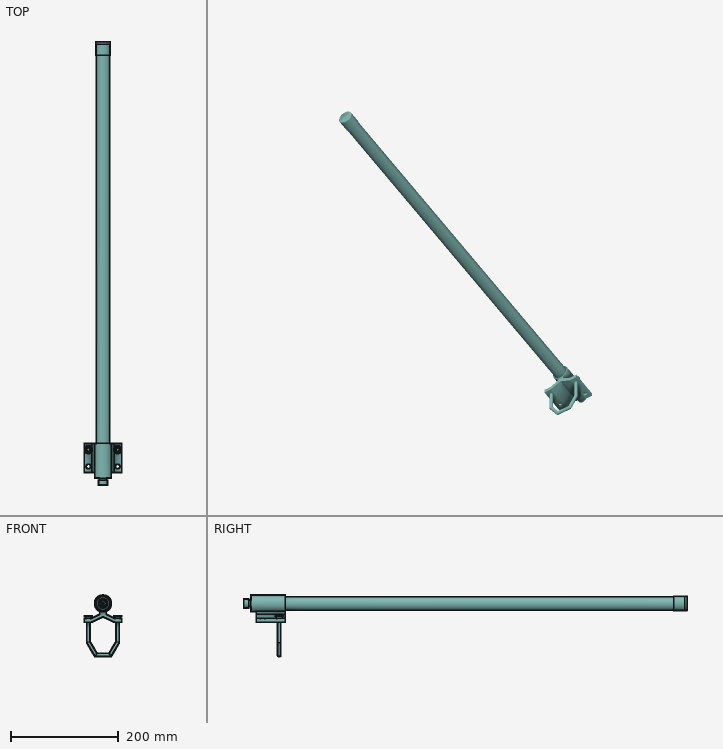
import cadquery as cq
import math

OVERALL_LENGTH = 822.0
OVERALL_HEIGHT = 114.0

TUBE_DIAMETER = 25.5
HOUSING_DIAMETER = 31.0
HOUSING_LENGTH = 64.0
CAP_DIAMETER = 27.0
CAP_LENGTH = 25.5
CAP_FLOOR = 5.0
CAP_EDGE_FILLET = 2.0

COUPLING_DIAMETER = 17.0
COUPLING_LENGTH = 9.0
NECK_DIAMETER = 13.0
NECK_LENGTH = 4.0
BORE_DIAMETER = 11.5
BORE_DEPTH = 6.5
PIN_DIAMETER = 4.0

BRACKET_WIDTH = 70.0
BRACKET_LENGTH = 54.0
FLANGE_WIDTH = 14.0
FLANGE_THICKNESS = 7.0
FLANGE_BOTTOM_Z = 6.5
RIDGE_BOTTOM_Z = 16.5
SHOULDER_Z = 21.0
WEB_THICKNESS = 12.0

STUD_SPACING = 54.0
STUD_DIAMETER = 6.5
HOLE_DIAMETER = 8.0
HOLE_EDGE_DISTANCE = 11.5
STUD_BEND_Z = -30.0
U_BASE_WIDTH = 26.0
NUT_COLLAR_DIAMETER = 11.0
NUT_HEAD_DIAMETER = 15.0
NUT_HEIGHT = 5.0
NUT_HEAD_HEIGHT = 2.0

connector_end_y = -OVERALL_LENGTH / 2
cap_end_y = OVERALL_LENGTH / 2
neck_start_y = connector_end_y + COUPLING_LENGTH
housing_start_y = neck_start_y + NECK_LENGTH
housing_end_y = housing_start_y + HOUSING_LENGTH
bracket_start_y = housing_end_y - BRACKET_LENGTH
cap_start_y = cap_end_y - CAP_LENGTH
stud_y = housing_end_y - HOLE_EDGE_DISTANCE
spare_hole_y = bracket_start_y + HOLE_EDGE_DISTANCE

axis_z = OVERALL_HEIGHT / 2 - HOUSING_DIAMETER / 2
seat_z = axis_z - math.sqrt((HOUSING_DIAMETER / 2) ** 2 - (WEB_THICKNESS / 2) ** 2)
flange_top_z = FLANGE_BOTTOM_Z + FLANGE_THICKNESS
nut_top_z = flange_top_z + NUT_HEIGHT
u_base_z = -OVERALL_HEIGHT / 2 + STUD_DIAMETER / 2
stud_x = STUD_SPACING / 2


def rod(diameter, start_y, end_y):
    """Cylinder on the antenna axis between two Y positions."""
    plane = cq.Plane(origin=(0, start_y, axis_z), xDir=(1, 0, 0), normal=(0, 1, 0))
    return cq.Workplane(plane).circle(diameter / 2).extrude(end_y - start_y)


def make_tube():
    """Long rod that runs from the connector end of the housing up into the cap."""
    return rod(TUBE_DIAMETER, housing_start_y, cap_end_y - CAP_FLOOR)


def make_cap(tube):
    """Rounded end cap with a socket for the tube."""
    cap = rod(CAP_DIAMETER, cap_start_y, cap_end_y)
    return cap.faces(">Y").edges().fillet(CAP_EDGE_FILLET).cut(tube)


def make_housing(tube):
    """Sleeve around the tube, with a narrow flat underneath where the bracket web seats."""
    housing = rod(HOUSING_DIAMETER, housing_start_y, housing_end_y)
    below_seat = (
        cq.Workplane("XY", origin=(0, bracket_start_y, seat_z))
        .rect(HOUSING_DIAMETER, 2 * BRACKET_LENGTH)
        .extrude(-HOUSING_DIAMETER)
        .intersect(rod(2 * HOUSING_DIAMETER, bracket_start_y, housing_end_y))
    )
    return housing.cut(below_seat).cut(tube)


def make_connector():
    """Neck and coupling, with a bore and a centre pin at the open end."""
    neck = rod(NECK_DIAMETER, neck_start_y, housing_start_y)
    coupling = rod(COUPLING_DIAMETER, connector_end_y, neck_start_y)
    bore_end_y = connector_end_y + BORE_DEPTH
    bore = rod(BORE_DIAMETER, connector_end_y, bore_end_y)
    pin = rod(PIN_DIAMETER, connector_end_y, bore_end_y)
    return coupling.union(neck).cut(bore).union(pin)


def make_bracket():
    """Roof-shaped plate with two flat flanges, a central web and four stud holes."""
    edge_x = BRACKET_WIDTH / 2
    bend_x = edge_x - FLANGE_WIDTH
    web_x = WEB_THICKNESS / 2
    left_half = [
        (-web_x, seat_z),
        (-web_x, SHOULDER_Z),
        (-bend_x, flange_top_z),
        (-edge_x, flange_top_z),
        (-edge_x, FLANGE_BOTTOM_Z),
        (-bend_x, FLANGE_BOTTOM_Z),
    ]
    right_half = [(-x, z) for x, z in reversed(left_half)]
    outline = left_half + [(0, RIDGE_BOTTOM_Z)] + right_half
    bracket = (
        cq.Workplane("XZ", origin=(0, housing_end_y, 0))
        .polyline(outline)
        .close()
        .extrude(BRACKET_LENGTH)
    )
    hole_places = [(x, y) for x in (-stud_x, stud_x) for y in (stud_y, spare_hole_y)]
    holes = (
        cq.Workplane("XY", origin=(0, 0, FLANGE_BOTTOM_Z))
        .pushPoints(hole_places)
        .circle(HOLE_DIAMETER / 2)
        .extrude(FLANGE_THICKNESS)
    )
    return bracket.cut(holes)


def make_u_bolt():
    """Round bar bent to two upright studs joined by slanted sides and a short base."""
    left_half = [
        (-stud_x, nut_top_z),
        (-stud_x, STUD_BEND_Z),
        (-U_BASE_WIDTH / 2, u_base_z),
    ]
    right_half = [(-x, z) for x, z in reversed(left_half)]
    path = cq.Workplane("XZ", origin=(0, stud_y, 0)).polyline(left_half + right_half)
    section = cq.Workplane("XY", origin=(-stud_x, stud_y, nut_top_z)).circle(STUD_DIAMETER / 2)
    return section.sweep(path, transition="right")


def make_nut(x):
    """Round nut on a stud: a narrow collar under a wider thin head."""
    collar_height = NUT_HEIGHT - NUT_HEAD_HEIGHT
    base = cq.Workplane("XY", origin=(x, stud_y, flange_top_z))
    collar = base.circle(NUT_COLLAR_DIAMETER / 2).extrude(collar_height)
    head = (
        base.workplane(offset=collar_height)
        .circle(NUT_HEAD_DIAMETER / 2)
        .extrude(NUT_HEAD_HEIGHT)
    )
    stud_hole = base.circle(STUD_DIAMETER / 2).extrude(NUT_HEIGHT)
    return collar.union(head).cut(stud_hole)


tube = make_tube()
cap = make_cap(tube)
housing = make_housing(tube)
connector = make_connector()
bracket = make_bracket()
u_bolt = make_u_bolt()
nuts = [make_nut(x) for x in (-stud_x, stud_x)]

result = cq.Compound.makeCompound(
    [
        tube.val(),
        cap.val(),
        housing.val(),
        bracket.val(),
        connector.val(),
        u_bolt.val(),
        *[nut.val() for nut in nuts],
    ]
)